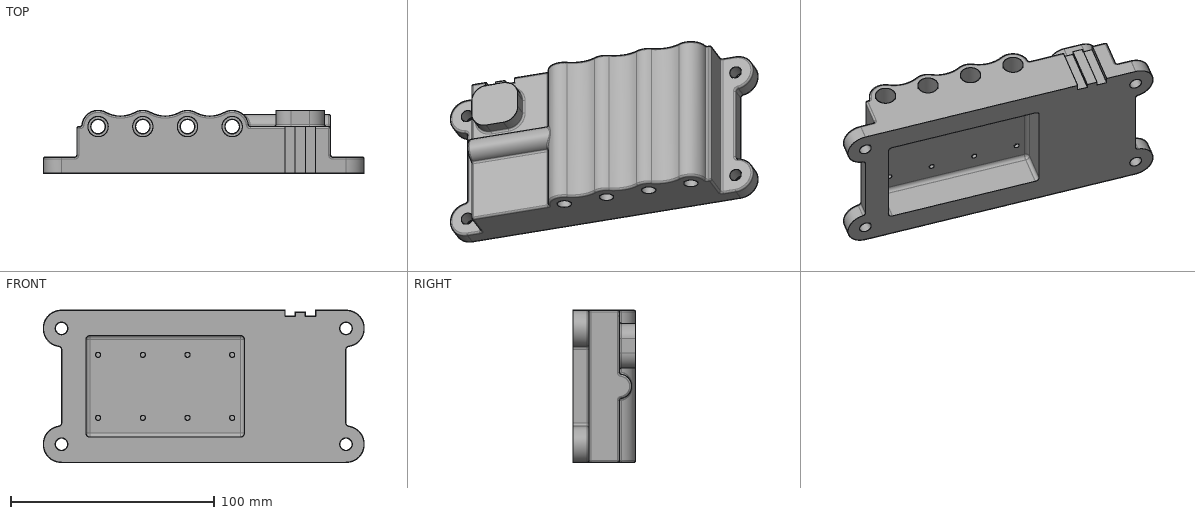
import cadquery as cq
import math

height = 75.0
half_height = height / 2
edge_radius = 1.0
margin = 0.1

plate_thickness = 8.0
lug_radius = 9.0
lug_x = 70.0
lug_z = half_height - lug_radius
lug_centres = [(sx * lug_x, sz * lug_z) for sx in (-1, 1) for sz in (-1, 1)]
lug_corner_radius = 1.5
mounting_hole_diameter = 6.0

body_half_length = 62.5
shoulder_y = 23.0

port_count = 4
port_pitch = 22.0
first_port_x = -52.0
port_y = shoulder_y
port_xs = [first_port_x + i * port_pitch for i in range(port_count)]
rib_radius = 8.0
valley_radius = 15.0
port_diameter = 7.0
port_mouth_diameter = 10.0
port_mouth_depth = 12.0
back_y = port_y + rib_radius

pocket_length = 78.0
pocket_height = 50.0
pocket_depth = 17.0
pocket_radius = 2.0
pocket_x = (port_xs[0] + port_xs[-1]) / 2
tap_diameter = 2.5
tap_z = 15.5

ridge_radius = 6.0
pad_x = 47.5
pad_width = 24.0
pad_height = 22.0
pad_corner_radius = 7.5
pad_top_z = 31.0
pad_z = pad_top_z - pad_height / 2

notch_x = pad_x
notch_width = 15.0
notch_depth = 3.0
tongue_width = 5.0
tongue_drop = 1.0


def on_front(*points):
    """Workplane whose local axes are global X and Z, holding the given points."""
    return cq.Workplane("XZ").pushPoints(points)


def valley_arc_points(left_x):
    """Start, middle and end of the arc tangent to the ribs at left_x and one pitch on."""
    half_pitch = port_pitch / 2
    reach = rib_radius + valley_radius
    rise = math.sqrt(reach**2 - half_pitch**2)
    share = rib_radius / reach
    tangent_y = port_y + share * rise
    start = (left_x + share * half_pitch, tangent_y)
    middle = (left_x + half_pitch, port_y + rise - valley_radius)
    end = (left_x + port_pitch - share * half_pitch, tangent_y)
    return start, middle, end


def make_section():
    """Plate, body and ribs as one XY section, extruded over the full height."""
    outer_x = lug_x + lug_radius
    outline = (
        cq.Workplane("XY", origin=(0, 0, -half_height))
        .moveTo(-outer_x, 0)
        .lineTo(-outer_x, plate_thickness)
        .lineTo(-body_half_length, plate_thickness)
        .lineTo(-body_half_length, shoulder_y)
        .lineTo(port_xs[0] - rib_radius, shoulder_y)
    )
    diagonal = rib_radius * math.sqrt(0.5)
    first_crest = (port_xs[0] - diagonal, port_y + diagonal)
    for left_x in port_xs[:-1]:
        start, middle, end = valley_arc_points(left_x)
        crest = first_crest if left_x == port_xs[0] else (left_x, back_y)
        outline = outline.threePointArc(crest, start).threePointArc(middle, end)
    last_crest = (port_xs[-1] + diagonal, port_y + diagonal)
    solid = (
        outline.threePointArc(last_crest, (port_xs[-1] + rib_radius, port_y))
        .lineTo(body_half_length, shoulder_y)
        .lineTo(body_half_length, plate_thickness)
        .lineTo(outer_x, plate_thickness)
        .lineTo(outer_x, 0)
        .close()
        .extrude(height)
    )
    corners = [
        (-body_half_length, plate_thickness),
        (-body_half_length, shoulder_y),
        (port_xs[0] - rib_radius, shoulder_y),
        (body_half_length, plate_thickness),
    ]
    for x, y in corners:
        solid = solid.edges(cq.NearestToPointSelector((x, y, 0))).fillet(edge_radius)
    return solid


def make_plan():
    """Plate outline with its four lugs, extruded through the full thickness."""
    plan = cq.Workplane("XZ").rect(2 * lug_x, height).extrude(-back_y)
    plan = plan.union(on_front(*lug_centres).circle(lug_radius).extrude(-back_y))
    corner_z = lug_z - lug_radius
    for sx in (-1, 1):
        for sz in (-1, 1):
            corner = cq.NearestToPointSelector((sx * lug_x, back_y / 2, sz * corner_z))
            plan = plan.edges(corner).fillet(lug_corner_radius)
    return plan


def round_outer_edges(solid):
    """Round every edge of the end faces and plate rim, except around the mounting face."""
    end_edges = solid.faces("<Z or >Z").edges()
    rim_edges = solid.faces(
        cq.selectors.BoxSelector(
            (-lug_x - lug_radius, plate_thickness - margin, -half_height),
            (lug_x + lug_radius, plate_thickness + margin, half_height),
        )
    ).edges()
    picked = {}
    for edge in end_edges.vals() + rim_edges.vals():
        box = edge.BoundingBox()
        on_mounting_face = box.ymin < plate_thickness / 2
        at_body_side = box.zlen > height - 2 * edge_radius
        if not on_mounting_face and not at_body_side:
            picked[edge.hashCode()] = edge
    return solid.newObject(list(picked.values())).fillet(edge_radius)


def add_ridge(solid):
    """Half-round cross ridge from the last rib to the body end, with the feet of both rounded."""
    start_x = port_xs[-1]
    ridge = (
        cq.Workplane("YZ", origin=(start_x, shoulder_y, 0))
        .circle(ridge_radius)
        .extrude(body_half_length - start_x)
    )
    solid = solid.union(ridge)
    foot_edges = cq.selectors.BoxSelector(
        (start_x, shoulder_y - margin, margin - half_height),
        (body_half_length - margin, back_y, half_height - margin),
    )
    solid = solid.edges(foot_edges).fillet(edge_radius)
    end_edges = cq.selectors.BoxSelector(
        (body_half_length - margin, shoulder_y - margin, -height),
        (body_half_length + margin, back_y, height),
    )
    return solid.edges(end_edges).fillet(edge_radius)


def add_pad(solid):
    """Round-cornered pad above the ridge, blended into the back of the body."""
    pad = (
        cq.Workplane("XZ", origin=(pad_x, shoulder_y, pad_z))
        .rect(pad_width, pad_height)
        .extrude(shoulder_y - back_y)
        .edges("|Y")
        .fillet(pad_corner_radius)
    )
    solid = solid.union(pad)
    reach_x = pad_width / 2 + margin
    reach_z = pad_height / 2 + margin
    pad_foot = cq.selectors.BoxSelector(
        (pad_x - reach_x, shoulder_y - margin, pad_z - reach_z),
        (pad_x + reach_x, back_y - margin, pad_z + reach_z),
    )
    return solid.edges(pad_foot).fillet(edge_radius)


def cut_mounting_holes(solid):
    return solid.cut(on_front(*lug_centres).circle(mounting_hole_diameter / 2).extrude(-back_y))


def cut_pocket(solid):
    """Pocket in the mounting face, rounded at its corners and floor."""
    pocket = (
        cq.Workplane("XZ")
        .center(pocket_x, 0)
        .rect(pocket_length, pocket_height)
        .extrude(-pocket_depth)
        .edges("|Y or >Y")
        .fillet(pocket_radius)
    )
    return solid.cut(pocket)


def cut_ports(solid):
    """Through channels with wider mouths in the top, and their taps from the pocket floor."""
    top = cq.Workplane("XY", origin=(0, port_y, half_height)).pushPoints([(x, 0) for x in port_xs])
    solid = solid.cut(top.circle(port_diameter / 2).extrude(-height))
    solid = solid.cut(top.circle(port_mouth_diameter / 2).extrude(-port_mouth_depth))
    tap_centres = [(x, side * tap_z) for x in port_xs for side in (-1, 1)]
    return solid.cut(on_front(*tap_centres).circle(tap_diameter / 2).extrude(-port_y))


def cut_notch(solid):
    """Notch through the top edge that leaves a lower tongue in its middle."""
    def top_block(width, depth):
        block = cq.Workplane("XZ").center(notch_x, half_height - depth / 2)
        return block.rect(width, depth).extrude(-back_y)

    tongue = top_block(tongue_width, notch_depth).cut(top_block(tongue_width, tongue_drop))
    return solid.cut(top_block(notch_width, notch_depth).cut(tongue))


body = add_ridge(make_section())
body = round_outer_edges(body.intersect(make_plan()))
body = add_pad(body)
body = cut_mounting_holes(body)
body = cut_pocket(body)
body = cut_ports(body)
result = cut_notch(body)